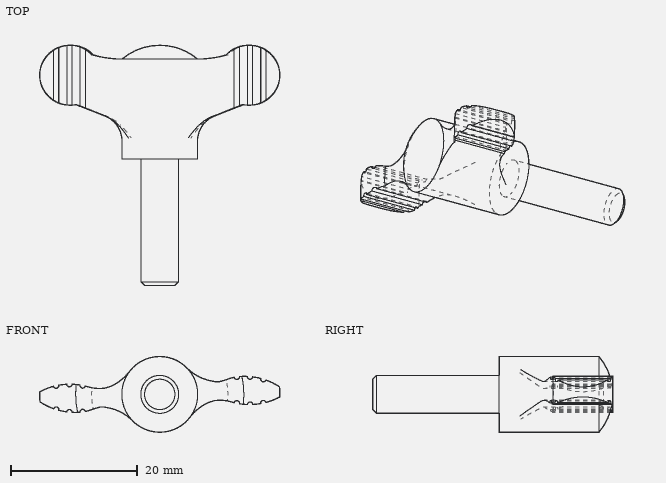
import cadquery as cq
import math


hub_radius = 6.0
hub_edge_y = 15.8
dome_top_y = 18.0
shank_radius = 3.0
shank_length = 20.0
shank_chamfer = 0.6

wing_span_radius = 19.0
head_radius = 4.75
head_center_r = wing_span_radius - head_radius
head_center_y = dome_top_y - head_radius
ring_inner_r = 3.0
neck_root_y = 3.25
neck_arc_end_r = 8.66
neck_arc_end_y = 6.78
neck_lower_joint_r = 13.3
neck_upper_joint_r = 10.77

groove_radius = 0.42
groove_middle_x = 14.28
groove_pitch = 2.1

crown_radius = 10.0
upper_crown_x = 13.4
upper_crown_z = 2.87
lower_crown_x = 14.2
lower_crown_z = -1.63
upper_crown_start_x = groove_middle_x - groove_pitch
lower_crown_start_x = 11.4
upper_root_x = 4.4
lower_root_x = 4.88
upper_root_mid = (5.9, 2.96)
upper_waist_start = (8.4, 2.1)
upper_waist_mid = (8.95, 2.01)
upper_waist_end = (9.46, 2.03)
upper_waist_tangent = (1.0, 0.2)
lower_waist_outer = (10.6, -1.03)
lower_waist_inner = (8.66, -1.0)
lower_root_mid = (6.6, -1.9)
section_overrun = 1.0
section_end_x = wing_span_radius + section_overrun


def arc_drop(radius, offset):
    """Fall of a circular arc from its crest, at an offset along the tangent."""
    return radius - math.sqrt(radius**2 - offset**2)


def upper_crown(x):
    """Z of the upper crowned face of the +X wing."""
    return upper_crown_z - arc_drop(crown_radius, x - upper_crown_x)


def lower_crown(x):
    """Z of the lower crowned face of the +X wing."""
    return lower_crown_z + arc_drop(crown_radius, x - lower_crown_x)


def on_circle(radius, offset):
    """Second coordinate of a point on a circle, given its first."""
    return math.sqrt(radius**2 - offset**2)


def make_body():
    """Domed hub and chamfered shank, turned about the Y axis."""
    dome_height = dome_top_y - hub_edge_y
    dome_radius = (hub_radius**2 + dome_height**2) / (2 * dome_height)
    dome_mid_r = hub_radius / 2
    dome_mid_y = dome_top_y - arc_drop(dome_radius, dome_mid_r)
    return (
        cq.Workplane("XY")
        .moveTo(0, -shank_length)
        .lineTo(shank_radius - shank_chamfer, -shank_length)
        .lineTo(shank_radius, -shank_length + shank_chamfer)
        .lineTo(shank_radius, 0)
        .lineTo(hub_radius, 0)
        .lineTo(hub_radius, hub_edge_y)
        .threePointArc((dome_mid_r, dome_mid_y), (0, dome_top_y))
        .close()
        .revolve(360, (0, 0, 0), (0, 1, 0))
    )


def make_wing_ring():
    """Wing outline turned about the Y axis; the wings are cut out of this ring."""
    lower_joint_y = head_center_y - on_circle(head_radius, neck_lower_joint_r - head_center_r)
    upper_joint_y = head_center_y + on_circle(head_radius, neck_upper_joint_r - head_center_r)

    neck_run = neck_upper_joint_r - hub_radius
    neck_rise = upper_joint_y - hub_edge_y
    neck_top_radius = (neck_run**2 + neck_rise**2) / (2 * neck_rise)
    neck_top_mid_y = hub_edge_y + arc_drop(neck_top_radius, neck_run / 2)

    return (
        cq.Workplane("XY")
        .moveTo(ring_inner_r, hub_edge_y)
        .lineTo(hub_radius, hub_edge_y)
        .threePointArc(
            (hub_radius + neck_run / 2, neck_top_mid_y),
            (neck_upper_joint_r, upper_joint_y),
        )
        .threePointArc(
            (wing_span_radius, head_center_y),
            (neck_lower_joint_r, lower_joint_y),
        )
        .lineTo(neck_arc_end_r, neck_arc_end_y)
        .tangentArcPoint((hub_radius, neck_root_y), relative=False)
        .lineTo(ring_inner_r, neck_root_y)
        .close()
        .revolve(360, (0, 0, 0), (0, 1, 0))
    )


def make_wing_section():
    """Thickness profile of the +X wing, running the full length of the hub along Y."""
    crown_start_offset = upper_crown_x - upper_crown_start_x
    upper_crown_tangent = (on_circle(crown_radius, crown_start_offset), crown_start_offset)
    crown_mid_x = (upper_crown_start_x + section_end_x) / 2
    section = (
        cq.Workplane("XZ", origin=(0, dome_top_y, 0))
        .moveTo(upper_root_x, on_circle(hub_radius, upper_root_x))
        .threePointArc(upper_root_mid, upper_waist_start)
        .threePointArc(upper_waist_mid, upper_waist_end)
        .spline(
            [(upper_crown_start_x, upper_crown(upper_crown_start_x))],
            tangents=[upper_waist_tangent, upper_crown_tangent],
            includeCurrent=True,
        )
        .threePointArc(
            (crown_mid_x, upper_crown(crown_mid_x)),
            (section_end_x, upper_crown(section_end_x)),
        )
        .lineTo(section_end_x, lower_crown(section_end_x))
        .threePointArc(
            (crown_mid_x, lower_crown(crown_mid_x)),
            (lower_crown_start_x, lower_crown(lower_crown_start_x)),
        )
        .spline(
            [
                lower_waist_outer,
                lower_waist_inner,
                lower_root_mid,
                (lower_root_x, -on_circle(hub_radius, lower_root_x)),
            ],
            includeCurrent=True,
        )
        .close()
        .extrude(dome_top_y)
    )
    return section.cut(make_grooves())


def make_grooves():
    """Round grooves along Y, centred on the upper and lower crowned faces."""
    centers = []
    for step in (-1, 0, 1):
        x = groove_middle_x + step * groove_pitch
        centers.append((x, upper_crown(x)))
        centers.append((x, lower_crown(x)))
    return (
        cq.Workplane("XZ", origin=(0, dome_top_y, 0))
        .pushPoints(centers)
        .circle(groove_radius)
        .extrude(dome_top_y)
    )


wing = make_wing_ring().intersect(make_wing_section())
opposite_wing = wing.rotate((0, 0, 0), (0, 1, 0), 180)
result = make_body().union(wing).union(opposite_wing)